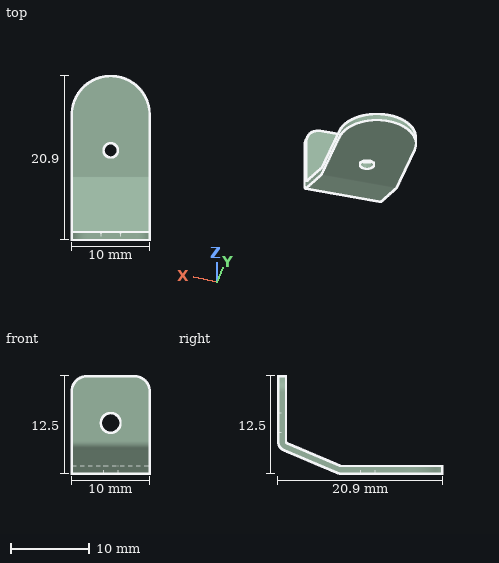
import cadquery as cq
import math

width = 10.0
length = 20.95
height = 12.5
thickness = 1.0
inner_radius = 0.2
lower_bend_y = 8.05
upper_bend_z = 4.1
upright_corner_radius = 2.0
upright_hole_diameter = 2.5
upright_hole_z = 6.5
base_hole_diameter = 1.8
base_hole_y = 11.45

outer_radius = inner_radius + thickness
lower_centre = (lower_bend_y, outer_radius)
upper_centre = (outer_radius, upper_bend_z)

web_rise = upper_centre[1] - lower_centre[1]
web_run = lower_centre[0] - upper_centre[0]
web_normal = math.atan2(-web_run, -web_rise)
base_normal = math.radians(-90)
upright_normal = math.radians(-180)


def on_arc(centre, radius, angle):
    """Point in the YZ plane at an angle around a bend axis."""
    return (centre[0] + radius * math.cos(angle), centre[1] + radius * math.sin(angle))


def bend_points(centre, radius, start, end):
    """Start, middle and end points of a bend arc."""
    return [on_arc(centre, radius, angle) for angle in (start, (start + end) / 2, end)]


def bent_sheet():
    """Base, sloped web and upright extruded across the full width."""
    outer_lower = bend_points(lower_centre, outer_radius, base_normal, web_normal)
    outer_upper = bend_points(upper_centre, outer_radius, web_normal, upright_normal)
    inner_upper = bend_points(upper_centre, inner_radius, upright_normal, web_normal)
    inner_lower = bend_points(lower_centre, inner_radius, web_normal, base_normal)
    return (
        cq.Workplane("YZ")
        .moveTo(length, 0)
        .lineTo(*outer_lower[0])
        .threePointArc(*outer_lower[1:])
        .lineTo(*outer_upper[0])
        .threePointArc(*outer_upper[1:])
        .lineTo(0, height)
        .lineTo(thickness, height)
        .lineTo(*inner_upper[0])
        .threePointArc(*inner_upper[1:])
        .lineTo(*inner_lower[0])
        .threePointArc(*inner_lower[1:])
        .lineTo(length, thickness)
        .close()
        .extrude(width / 2, both=True)
    )


def base_outline():
    """Tall prism that gives the base its full-round end."""
    half_width = width / 2
    round_start_y = length - half_width
    return (
        cq.Workplane("XY")
        .moveTo(-half_width, 0)
        .lineTo(half_width, 0)
        .lineTo(half_width, round_start_y)
        .threePointArc((0, length), (-half_width, round_start_y))
        .close()
        .extrude(height)
    )


def upright_hole():
    return (
        cq.Workplane("XZ")
        .center(0, upright_hole_z)
        .circle(upright_hole_diameter / 2)
        .extrude(-thickness)
    )


def base_hole():
    return (
        cq.Workplane("XY")
        .center(0, base_hole_y)
        .circle(base_hole_diameter / 2)
        .extrude(thickness)
    )


sheet = bent_sheet().intersect(base_outline())
sheet = sheet.faces(">Z").edges("|Y").fillet(upright_corner_radius)
result = sheet.cut(upright_hole()).cut(base_hole())